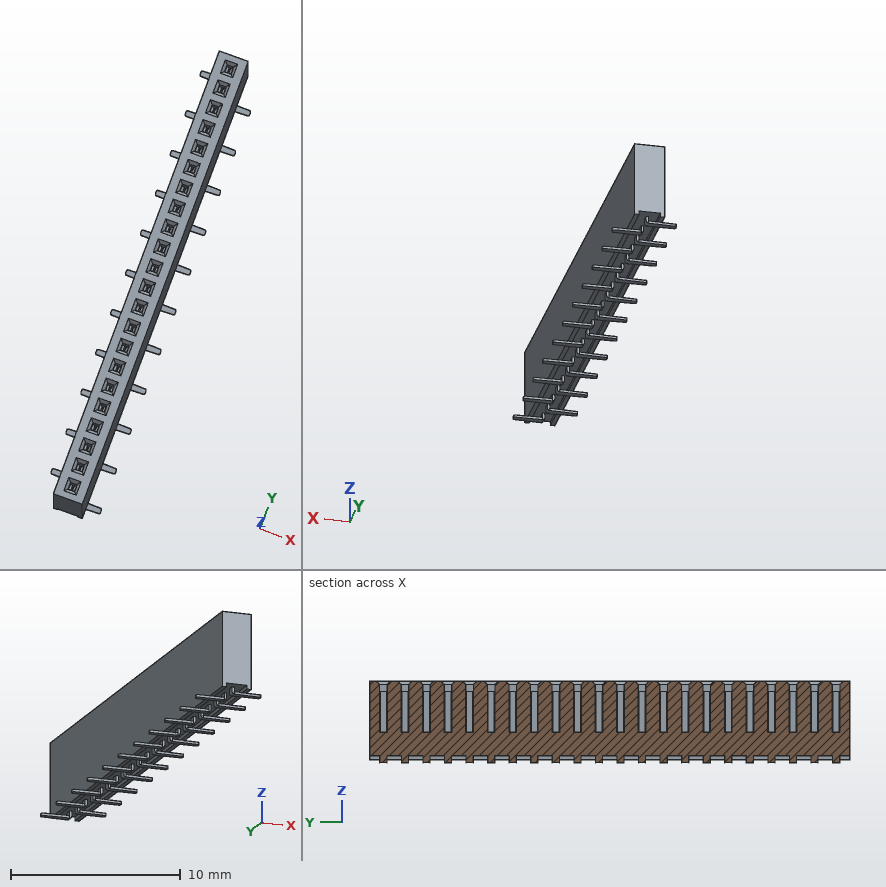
import cadquery as cq

pin_count = 22
pitch = 1.27
body_width = 1.82
body_length = 28.29
housing_bottom = 0.2
total_height = 4.83

strip_thickness = 0.15
lead_root_width = 0.43
lead_tip_width = 0.33
tip_corner_radius = 0.1
lead_span = 3.576
post_thickness = 0.15
bend_radius = 0.15

groove_width = 1.28
groove_top = 0.43

mouth_x = 0.77
mouth_y = 0.85
bore_x = 0.4
bore_y = 0.43
funnel_depth = 0.2
socket_depth = 3.0

tine_gap = 0.1
tine_thickness = (bore_x - tine_gap) / 2
tine_width = 0.35
tine_drop = 0.6

pin_positions = [(0, (i - (pin_count - 1) / 2) * pitch) for i in range(pin_count)]


def box(size_x, size_y, bottom, top, x=0, y=0):
    """Upright box centred on (x, y) between two heights."""
    blank = cq.Workplane("XY").box(size_x, size_y, top - bottom, centered=(True, True, False))
    return blank.translate((x, y, bottom))


def make_housing():
    """Plain bar with a groove along its underside."""
    bar = box(body_width, body_length, housing_bottom, total_height)
    groove = box(groove_width, body_length, housing_bottom, groove_top)
    return bar.cut(groove)


def make_socket():
    """Funnel mouth leading into a rectangular bore, centred on Y = 0."""
    funnel = (
        cq.Workplane("XY")
        .workplane(offset=total_height)
        .rect(mouth_x, mouth_y)
        .workplane(offset=-funnel_depth)
        .rect(bore_x, bore_y)
        .loft(ruled=True)
    )
    bore = box(bore_x, bore_y, total_height - socket_depth, total_height - funnel_depth)
    return funnel.union(bore)


def make_lead():
    """Flat lead pointing to +X, bent up into a short post and narrowed towards its tip."""
    heel = -post_thickness / 2
    tip = lead_span / 2
    strip = (
        cq.Workplane("XY")
        .moveTo(heel, -lead_root_width / 2)
        .lineTo(tip, -lead_tip_width / 2)
        .lineTo(tip, lead_tip_width / 2)
        .lineTo(heel, lead_root_width / 2)
        .close()
        .extrude(strip_thickness)
        .edges("|Z and >X")
        .fillet(tip_corner_radius)
    )
    post = box(post_thickness, lead_root_width, 0, groove_top)
    return strip.union(post).faces("<X").edges("<Z").fillet(bend_radius)


def make_tines():
    """Pair of upright tines on either side of the slot that grips the mating pin."""
    bottom = total_height - socket_depth
    top = total_height - tine_drop
    offset = (tine_gap + tine_thickness) / 2
    left = box(tine_thickness, tine_width, bottom, top, x=-offset)
    right = box(tine_thickness, tine_width, bottom, top, x=offset)
    return left.union(right)


def repeat(shape, positions):
    """Copies of a shape at each (x, y) position."""
    solid = shape.val()
    return cq.Workplane("XY").pushPoints(positions).eachpoint(lambda place: solid.moved(place))


socket_void = make_socket().cut(make_tines())
lead_right = make_lead()
lead_left = lead_right.mirror("YZ")

result = (
    make_housing()
    .cut(repeat(socket_void, pin_positions))
    .union(repeat(lead_right, pin_positions[0::2]))
    .union(repeat(lead_left, pin_positions[1::2]))
    .solids()
)